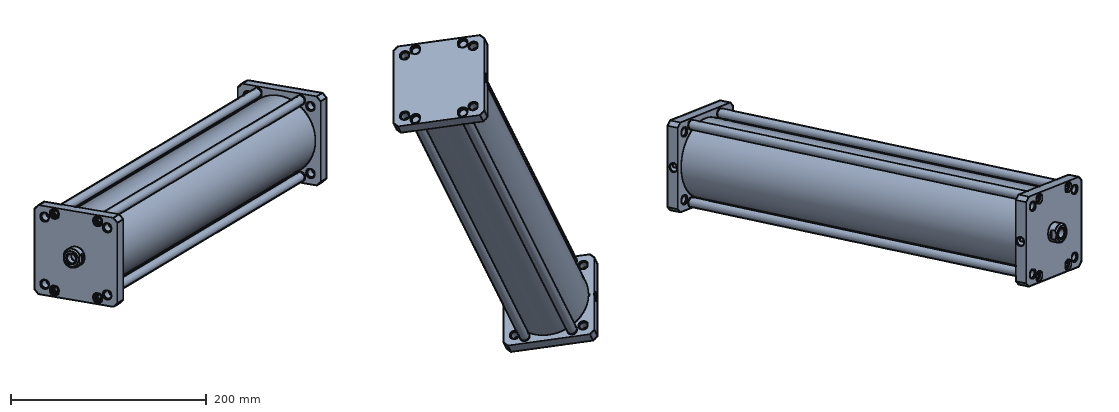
import cadquery as cq

total_length = 464.0
plate_size = 96.0
plate_thickness = 13.0
plate_corner_chamfer = 4.5
rod_projection = 10.0

rod_tip_y = -total_length / 2
front_face_y = rod_tip_y + rod_projection
tube_start_y = front_face_y + plate_thickness
rear_face_y = total_length / 2
tube_end_y = rear_face_y - plate_thickness

tube_outer_diameter = 84.0
tube_inner_diameter = 80.0

mount_offset = 36.0
mount_diameter = 8.5
mount_mouth_diameter = 10.0
mount_countersink_depth = 1.5

port_inset = 7.5
port_diameter = 9.0
port_mouth_diameter = 9.7
port_countersink_depth = 1.0
port_depth = 9.5
port_point_length = 3.0
port_bar_diameter = 5.0
port_bar_depth = 8.0

tie_offset_x = 25.0
tie_offset_z = 41.5
tie_diameter = 10.0
tie_end_diameter = 8.5
tie_front_gap = 1.5
tie_recess_diameter = 10.5
tie_recess_depth = 3.0
socket_corner_diameter = 6.0
socket_depth = 3.0
socket_drill_diameter = 5.0
socket_point_length = 1.5

rod_diameter = 20.5
rod_end_chamfer = 2.0
rod_flat_width = 18.0
rod_flat_length = 6.5
rod_bore_diameter = 10.0
rod_bore_mouth_diameter = 12.0
rod_bore_countersink_depth = 1.0
rod_bore_depth = 9.5
rod_bore_point_length = 0.5

ALONG_X = cq.Vector(1, 0, 0)
ALONG_Y = cq.Vector(0, 1, 0)


def four_points(offset_x, offset_z):
    """Points mirrored about both centre planes, as (x, z) pairs."""
    return [(side_x * offset_x, side_z * offset_z) for side_x in (-1, 1) for side_z in (-1, 1)]


mount_points = four_points(mount_offset, mount_offset)
tie_points = four_points(tie_offset_x, tie_offset_z)


def cylinder_y(diameter, start_y, end_y, x=0.0, z=0.0):
    """Cylinder parallel to Y, between two Y positions given in either order."""
    low_y = min(start_y, end_y)
    length = abs(end_y - start_y)
    return cq.Workplane(cq.Solid.makeCylinder(diameter / 2, length, cq.Vector(x, low_y, z), ALONG_Y))


def cone(start_diameter, end_diameter, length, start, direction):
    return cq.Workplane(cq.Solid.makeCone(start_diameter / 2, end_diameter / 2, length, start, direction))


def blind_hole(diameter, mouth_diameter, countersink_depth, depth, point_length, mouth, direction):
    """Cutter for a countersunk blind hole with a conical bottom."""
    barrel = cq.Workplane(cq.Solid.makeCylinder(diameter / 2, depth, mouth, direction))
    countersink = cone(mouth_diameter, diameter, countersink_depth, mouth, direction)
    point = cone(diameter, 0, point_length, mouth + direction * depth, direction)
    return barrel.union(countersink).union(point)


def mount_hole(x, z, outer_y, inner_y, inward):
    """Cutter for a through hole countersunk on both faces of a plate."""
    cutter = cylinder_y(mount_diameter, outer_y, inner_y, x, z)
    for face_y, direction in ((outer_y, ALONG_Y * inward), (inner_y, ALONG_Y * -inward)):
        mouth = cq.Vector(x, face_y, z)
        countersink = cone(mount_mouth_diameter, mount_diameter, mount_countersink_depth, mouth, direction)
        cutter = cutter.union(countersink)
    return cutter


def side_port(port_y):
    """Cutter for the port in the -X side, leaving the crossing bar in place."""
    side_x = -plate_size / 2
    hole = blind_hole(
        port_diameter, port_mouth_diameter, port_countersink_depth, port_depth, port_point_length,
        cq.Vector(side_x, port_y, 0), ALONG_X,
    )
    bar = cylinder_y(
        port_bar_diameter, port_y - port_diameter, port_y + port_diameter, side_x + port_bar_depth
    )
    return hole.cut(bar)


def make_end_plate(outer_y, inward):
    """Chamfered square plate; inward is +1 or -1, the Y direction toward the tube."""
    inner_y = outer_y + inward * plate_thickness
    recess_floor_y = outer_y + inward * tie_recess_depth
    plate = (
        cq.Workplane("XY")
        .box(plate_size, plate_thickness, plate_size)
        .edges("|Y")
        .chamfer(plate_corner_chamfer)
        .translate((0, (outer_y + inner_y) / 2, 0))
    )
    for x, z in mount_points:
        plate = plate.cut(mount_hole(x, z, outer_y, inner_y, inward))
    for x, z in tie_points:
        plate = plate.cut(cylinder_y(tie_end_diameter, outer_y, inner_y, x, z))
        plate = plate.cut(cylinder_y(tie_recess_diameter, outer_y, recess_floor_y, x, z))
    return plate.cut(side_port(outer_y + inward * port_inset))


def make_front_plate():
    rod_hole = cylinder_y(rod_diameter, front_face_y, tube_start_y)
    return make_end_plate(front_face_y, 1).cut(rod_hole)


def make_rear_plate():
    return make_end_plate(rear_face_y, -1)


def make_tube():
    bore = cylinder_y(tube_inner_diameter, tube_start_y, tube_end_y)
    return cylinder_y(tube_outer_diameter, tube_start_y, tube_end_y).cut(bore)


def make_tie_rod(x, z):
    """Tie rod with a hexagon socket in its front end."""
    start_y = front_face_y + tie_recess_depth
    end_y = rear_face_y - tie_recess_depth
    ends = cylinder_y(tie_end_diameter, start_y, end_y, x, z)
    middle = cylinder_y(tie_diameter, tube_start_y + tie_front_gap, tube_end_y, x, z)
    socket = (
        cq.Workplane("XZ", origin=(x, start_y, z))
        .polygon(6, socket_corner_diameter)
        .extrude(-socket_depth)
    )
    socket_floor = cq.Vector(x, start_y + socket_depth, z)
    point = cone(socket_drill_diameter, 0, socket_point_length, socket_floor, ALONG_Y)
    return ends.union(middle).cut(socket).cut(point)


def rod_flat_cutter(side):
    """Cutter for one wrench flat with a 45 degree shoulder; side is +1 or -1 along X."""
    radius = rod_diameter / 2
    flat_x = rod_flat_width / 2
    flat_end_y = rod_tip_y + rod_flat_length
    shoulder_end_y = flat_end_y + radius - flat_x
    return (
        cq.Workplane("XY")
        .moveTo(side * flat_x, rod_tip_y)
        .lineTo(side * flat_x, flat_end_y)
        .lineTo(side * radius, shoulder_end_y)
        .lineTo(side * radius, rod_tip_y)
        .close()
        .extrude(radius, both=True)
    )


def make_piston_rod():
    rod = cylinder_y(rod_diameter, rod_tip_y, tube_start_y).faces("<Y").chamfer(rod_end_chamfer)
    for side in (-1, 1):
        rod = rod.cut(rod_flat_cutter(side))
    bore = blind_hole(
        rod_bore_diameter, rod_bore_mouth_diameter, rod_bore_countersink_depth,
        rod_bore_depth, rod_bore_point_length, cq.Vector(0, rod_tip_y, 0), ALONG_Y,
    )
    return rod.cut(bore)


front_plate = make_front_plate()
rear_plate = make_rear_plate()
tube = make_tube()
piston_rod = make_piston_rod()
tie_rods = [make_tie_rod(x, z) for x, z in tie_points]

result = cq.Compound.makeCompound([
    front_plate.solids().val(),
    rear_plate.solids().val(),
    tube.solids().val(),
    piston_rod.solids().val(),
    *[tie_rod.solids().val() for tie_rod in tie_rods],
])